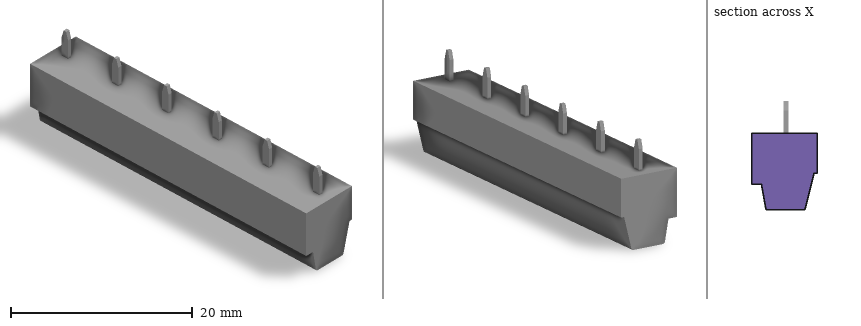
import cadquery as cq

LENGTH = 41.9
WIDTH = 7.3
TOTAL_HEIGHT = 12.0
BODY_HEIGHT = 8.5

BACK_SIDE_HEIGHT = 4.5
FRONT_SIDE_HEIGHT = 5.7
BACK_STEP = 0.38
FRONT_STEP = 1.1
BACK_FOOT_INSET = 1.4
FRONT_FOOT_INSET = 1.6
FOOT_RADIUS = 0.3

PIN_COUNT = 6
PIN_PITCH = 7.63
FIRST_PIN_X = 1.9
PIN_WIDTH = 0.95
PIN_THICKNESS = 0.5
PIN_TO_BACK = 3.48
TIP_WIDTH = 0.38
TIP_HEIGHT = 1.0
PIN_ROOT = 0.4

BACK_Y = WIDTH / 2
FRONT_Y = -WIDTH / 2


def make_housing():
    section = [
        (FRONT_Y, BODY_HEIGHT),
        (BACK_Y, BODY_HEIGHT),
        (BACK_Y, BODY_HEIGHT - BACK_SIDE_HEIGHT),
        (BACK_Y - BACK_STEP, BODY_HEIGHT - BACK_SIDE_HEIGHT),
        (BACK_Y - BACK_FOOT_INSET, 0),
        (FRONT_Y + FRONT_FOOT_INSET, 0),
        (FRONT_Y + FRONT_STEP, BODY_HEIGHT - FRONT_SIDE_HEIGHT),
        (FRONT_Y, BODY_HEIGHT - FRONT_SIDE_HEIGHT),
    ]
    housing = cq.Workplane("YZ").polyline(section).close().extrude(LENGTH)
    return housing.faces("<Z").edges("|X").fillet(FOOT_RADIUS)


def make_pin(center_x):
    shoulder_z = TOTAL_HEIGHT - TIP_HEIGHT
    root_z = BODY_HEIGHT - PIN_ROOT
    blade = [
        (center_x - PIN_WIDTH / 2, root_z),
        (center_x + PIN_WIDTH / 2, root_z),
        (center_x + PIN_WIDTH / 2, shoulder_z),
        (center_x + TIP_WIDTH / 2, TOTAL_HEIGHT),
        (center_x - TIP_WIDTH / 2, TOTAL_HEIGHT),
        (center_x - PIN_WIDTH / 2, shoulder_z),
    ]
    pin_y = BACK_Y - PIN_TO_BACK
    plane = cq.Workplane("XZ", origin=(0, pin_y, 0))
    return plane.polyline(blade).close().extrude(PIN_THICKNESS / 2, both=True)


result = make_housing()
for index in range(PIN_COUNT):
    result = result.union(make_pin(FIRST_PIN_X + index * PIN_PITCH))